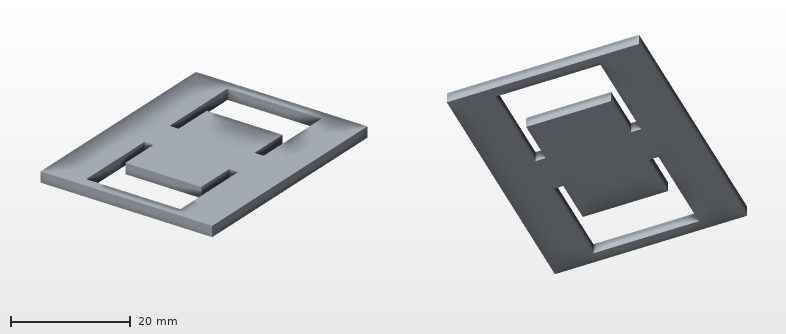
import cadquery as cq

plate_width = 35.0
plate_length = 45.0
thickness = 2.1

end_rail = 2.02
window_width = 19.2
window_length = plate_length - 2 * end_rail

pad_width = 15.5
pad_length = 23.6
bridge_length = 7.3


def centred_block(width, length):
    """Block of plate thickness, centred in X and Y, standing on Z = 0."""
    return cq.Workplane("XY").box(width, length, thickness, centered=(True, True, False))


frame = centred_block(plate_width, plate_length).cut(centred_block(window_width, window_length))
pad = centred_block(pad_width, pad_length)
bridge = centred_block(plate_width, bridge_length)

result = frame.union(bridge).union(pad).clean()